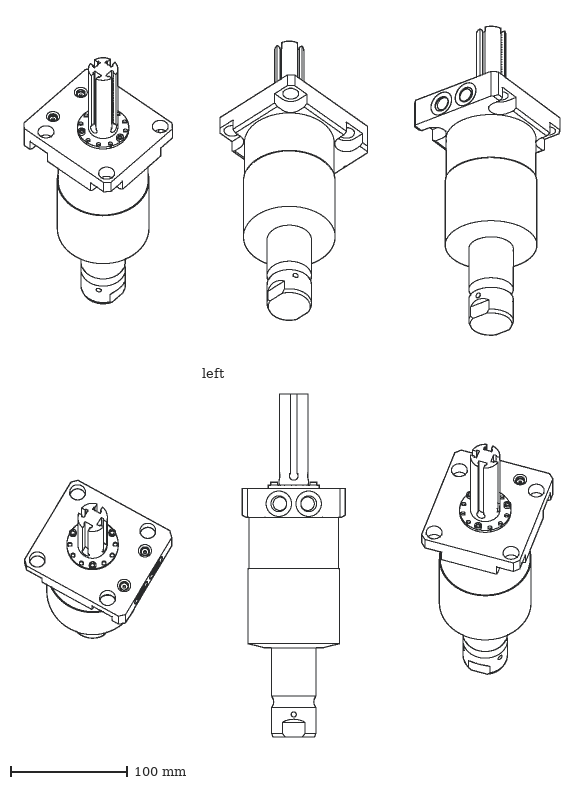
import cadquery as cq
import math

NOSE_BEVEL_TOP = 3.2
FLAT_TOP = 12.7
PIN_LEVEL = 19.5
GROOVE_BOTTOM = 25.5
GROOVE_TOP = 35.0
BODY_BOTTOM = 76.7
BODY_BEVEL_TOP = 80.2
BODY_STEP = 144.8
PLATE_BOTTOM = 188.8
PLATE_TOP = 214.0
RING_TOP = 216.5
TOTAL_HEIGHT = 295.0

NOSE_RADIUS = 19.2
NOSE_BEVEL = 1.2
GROOVE_DEPTH = 1.8
BODY_RADIUS = 39.5
BODY_BEVEL_RADIUS = 25.5
HOUSING_RADIUS = 38.5
RING_RADIUS = 22.0
SHAFT_RADIUS = 12.7

FLAT_DISTANCE = 16.5
PIN_DIAMETER = 4.5
PIN_DEPTH = 4.5
PIN_COUNT = 3

PLATE_LENGTH = 100.0
PLATE_WIDTH = 88.8
PLATE_RIGHT = PLATE_WIDTH / 2
PLATE_LEFT = PLATE_RIGHT - PLATE_LENGTH
PLATE_CORNER = 4.5
EDGE_BEVEL_HEIGHT = 2.0
EDGE_BEVEL_DEPTH = 3.2
MOUNT_OFFSET = 34.8
MOUNT_DIAMETER = 13.5
RELIEF_RADIUS = 10.0
RELIEF_HEIGHT = 12.7

PORT_SPACING = 25.7
PORT_LEVEL = 200.5
PORT_MOUTH_DIAMETER = 13.5
PORT_MOUTH_DEPTH = 1.2
PASSAGE_DIAMETER = 11.5
PASSAGE_SHIFT = 1.0
PASSAGE_DEPTH = 23.5
SPOT_DIAMETER = 21.8
SPOT_DEPTH = 0.3

PLUG_X = -41.5
PLUG_SPACING = 36.0
SINK_RADIUS = 5.5
SINK_DEPTH = 1.0
BORE_RADIUS = 3.8
BORE_DEPTH = 2.7
LEDGE_RADIUS = 3.2
LEDGE_DEPTH = 3.5
SOCKET_RADIUS = 1.2
SOCKET_DEPTH = 5.3

RING_HOLE_CIRCLE = 19.5
RING_HOLE_COUNT = 12
RING_HOLE_DIAMETER = 3.5
RING_SCREW_COUNT = 3
SCREW_HEAD_DIAMETER = 6.0
SCREW_HEAD_HEIGHT = 2.7
SCREW_SOCKET_SIZE = 3.8
SCREW_SOCKET_DEPTH = 1.8

SLOT_COUNT = 4
SLOT_WIDTH = 5.3
SLOT_FLOOR = 6.5
TEE_WIDTH = 7.5
TEE_HEIGHT = 2.5
SLOT_END = 224.5


def cylinder(radius, bottom, top, x=0.0, y=0.0):
    """Upright cylinder between two levels."""
    return cq.Workplane("XY", origin=(x, y, bottom)).circle(radius).extrude(top - bottom)


def block(x_range, y_range, z_range):
    """Box given by its limits along each axis."""
    sizes = [high - low for low, high in (x_range, y_range, z_range)]
    corner = (x_range[0], y_range[0], z_range[0])
    return cq.Workplane("XY").box(*sizes, centered=False).translate(corner)


def polar(radius, count):
    """Points equally spaced on a circle, starting on +X."""
    angles = [2 * math.pi * i / count for i in range(count)]
    return [(radius * math.cos(a), radius * math.sin(a)) for a in angles]


def turned_body():
    groove_middle = (GROOVE_BOTTOM + GROOVE_TOP) / 2
    return (
        cq.Workplane("XZ")
        .moveTo(0, 0)
        .lineTo(NOSE_RADIUS - NOSE_BEVEL, 0)
        .lineTo(NOSE_RADIUS, NOSE_BEVEL_TOP)
        .lineTo(NOSE_RADIUS, GROOVE_BOTTOM)
        .threePointArc((NOSE_RADIUS - GROOVE_DEPTH, groove_middle), (NOSE_RADIUS, GROOVE_TOP))
        .lineTo(NOSE_RADIUS, BODY_BOTTOM)
        .lineTo(BODY_BEVEL_RADIUS, BODY_BOTTOM)
        .lineTo(BODY_RADIUS, BODY_BEVEL_TOP)
        .lineTo(BODY_RADIUS, BODY_STEP)
        .lineTo(HOUSING_RADIUS, BODY_STEP)
        .lineTo(HOUSING_RADIUS, PLATE_TOP)
        .lineTo(RING_RADIUS, PLATE_TOP)
        .lineTo(RING_RADIUS, RING_TOP)
        .lineTo(SHAFT_RADIUS, RING_TOP)
        .lineTo(SHAFT_RADIUS, TOTAL_HEIGHT)
        .lineTo(0, TOTAL_HEIGHT)
        .close()
        .revolve(360, (0, 0, 0), (0, 1, 0))
    )


def nose_flat():
    """Cutter for the wrench flat on +X, with a 45 degree run-out at its top."""
    depth = NOSE_RADIUS - FLAT_DISTANCE
    return (
        cq.Workplane("XZ")
        .moveTo(FLAT_DISTANCE, 0)
        .lineTo(NOSE_RADIUS, 0)
        .lineTo(NOSE_RADIUS, FLAT_TOP + depth)
        .lineTo(FLAT_DISTANCE, FLAT_TOP)
        .close()
        .extrude(NOSE_RADIUS, both=True)
    )


def pin_hole():
    """Cutter for the radial pin hole on -X."""
    start = (-NOSE_RADIUS, 0, PIN_LEVEL)
    return cq.Workplane("YZ", origin=start).circle(PIN_DIAMETER / 2).extrude(PIN_DEPTH)


def edge_bevel():
    """Wedge for the lower edge of the plate on +X."""
    return (
        cq.Workplane("XZ")
        .moveTo(PLATE_RIGHT, PLATE_BOTTOM)
        .lineTo(PLATE_RIGHT, PLATE_BOTTOM + EDGE_BEVEL_HEIGHT)
        .lineTo(PLATE_RIGHT - EDGE_BEVEL_DEPTH, PLATE_BOTTOM)
        .close()
        .extrude(PLATE_LENGTH, both=True)
    )


def mount_reliefs():
    """Cutters under the mounting holes on the -Y side: a slot at -X, an open corner at +X."""
    levels = (PLATE_BOTTOM, PLATE_BOTTOM + RELIEF_HEIGHT)
    inner = MOUNT_OFFSET - RELIEF_RADIUS
    outside = (-PLATE_WIDTH, -MOUNT_OFFSET)
    slot = cylinder(RELIEF_RADIUS, *levels, -MOUNT_OFFSET, -MOUNT_OFFSET)
    slot = slot.union(block((-MOUNT_OFFSET - RELIEF_RADIUS, -inner), outside, levels))
    corner = block((inner, PLATE_LENGTH), (-PLATE_LENGTH, -inner), levels)
    corner = corner.edges("|Z and <X and >Y").fillet(RELIEF_RADIUS)
    return slot, corner


def plate():
    half = PLATE_WIDTH / 2
    solid = block((PLATE_LEFT, PLATE_RIGHT), (-half, half), (PLATE_BOTTOM, PLATE_TOP))
    solid = solid.edges("|Z").chamfer(PLATE_CORNER)
    for angle in (-90, 0, 90):
        solid = solid.cut(edge_bevel().rotate((0, 0, 0), (0, 0, 1), angle))
    for slot_or_corner in mount_reliefs():
        for mirrored in (slot_or_corner, slot_or_corner.mirror("XZ")):
            solid = solid.cut(mirrored)
    for x in (-MOUNT_OFFSET, MOUNT_OFFSET):
        for y in (-MOUNT_OFFSET, MOUNT_OFFSET):
            solid = solid.cut(cylinder(MOUNT_DIAMETER / 2, PLATE_BOTTOM, PLATE_TOP, x, y))
    return solid


def port(side):
    """Cutter for one port: spotface, shallow mouth and a passage set toward the middle."""
    mouth = cq.Workplane("YZ", origin=(PLATE_LEFT, side * PORT_SPACING / 2, PORT_LEVEL))
    spot = mouth.circle(SPOT_DIAMETER / 2).extrude(SPOT_DEPTH)
    recess = mouth.circle(PORT_MOUTH_DIAMETER / 2).extrude(PORT_MOUTH_DEPTH)
    passage = mouth.center(-side * PASSAGE_SHIFT, 0).circle(PASSAGE_DIAMETER / 2).extrude(PASSAGE_DEPTH)
    return spot.union(recess).union(passage)


def plug(side):
    """Cutter for one plug: countersink, stepped bore and centre socket."""
    return (
        cq.Workplane("XZ")
        .moveTo(0, 0)
        .lineTo(SINK_RADIUS, 0)
        .lineTo(BORE_RADIUS, -SINK_DEPTH)
        .lineTo(BORE_RADIUS, -BORE_DEPTH)
        .lineTo(LEDGE_RADIUS, -BORE_DEPTH)
        .lineTo(LEDGE_RADIUS, -LEDGE_DEPTH)
        .lineTo(SOCKET_RADIUS, -LEDGE_DEPTH)
        .lineTo(SOCKET_RADIUS, -SOCKET_DEPTH)
        .lineTo(0, -SOCKET_DEPTH)
        .close()
        .revolve(360, (0, 0, 0), (0, 1, 0))
        .translate((PLUG_X, side * PLUG_SPACING / 2, PLATE_TOP))
    )


def ring_pins(count, diameter, bottom, top):
    """Upright cylinders equally spaced on the bearing ring."""
    return (
        cq.Workplane("XY", origin=(0, 0, bottom))
        .pushPoints(polar(RING_HOLE_CIRCLE, count))
        .circle(diameter / 2)
        .extrude(top - bottom)
    )


def ring_screws():
    """Socket head screws filling every fourth ring hole."""
    head_top = RING_TOP + SCREW_HEAD_HEIGHT
    shanks = ring_pins(RING_SCREW_COUNT, RING_HOLE_DIAMETER, PLATE_TOP, RING_TOP)
    heads = ring_pins(RING_SCREW_COUNT, SCREW_HEAD_DIAMETER, RING_TOP, head_top)
    sockets = (
        cq.Workplane("XY", origin=(0, 0, head_top))
        .pushPoints(polar(RING_HOLE_CIRCLE, RING_SCREW_COUNT))
        .polygon(6, SCREW_SOCKET_SIZE)
        .extrude(-SCREW_SOCKET_DEPTH)
    )
    return shanks.union(heads).cut(sockets)


def shaft_slot():
    """Cutter for the T-slot on +X, ending in a round radial hole."""
    levels = (SLOT_END, TOTAL_HEIGHT)
    neck = block((SLOT_FLOOR, SHAFT_RADIUS), (-SLOT_WIDTH / 2, SLOT_WIDTH / 2), levels)
    tee = block((SLOT_FLOOR, SLOT_FLOOR + TEE_HEIGHT), (-TEE_WIDTH / 2, TEE_WIDTH / 2), levels)
    end = (
        cq.Workplane("YZ", origin=(SLOT_FLOOR, 0, SLOT_END))
        .circle(TEE_WIDTH / 2)
        .extrude(SHAFT_RADIUS - SLOT_FLOOR)
    )
    return neck.union(tee).union(end)


def around_axis(cutter, count):
    """Copies of a cutter equally spaced about the Z axis."""
    return [cutter.rotate((0, 0, 0), (0, 0, 1), 360 * i / count) for i in range(count)]


result = turned_body().union(plate())
cutters = around_axis(nose_flat(), 2)
cutters += around_axis(pin_hole(), PIN_COUNT)
cutters += around_axis(shaft_slot(), SLOT_COUNT)
for side in (-1, 1):
    cutters.append(port(side))
    cutters.append(plug(side))
cutters.append(ring_pins(RING_HOLE_COUNT, RING_HOLE_DIAMETER, PLATE_TOP, RING_TOP))
for cutter in cutters:
    result = result.cut(cutter)
result = result.union(ring_screws())